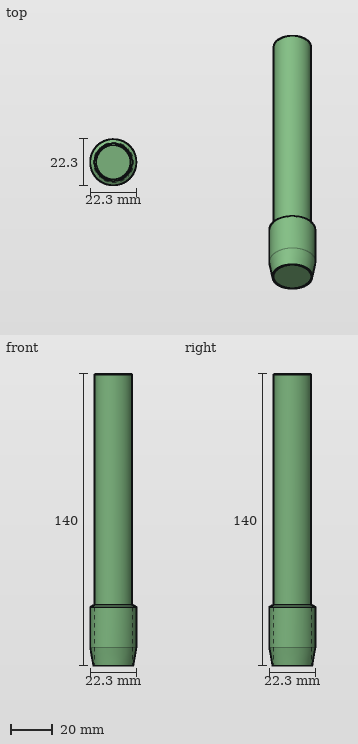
import cadquery as cq
import math

total_length = 140.0

pin_diameter = 18.0
pin_chamfer_width = 0.8

sleeve_diameter = 22.3
sleeve_tip_diameter = 19.2
sleeve_shoulder_height = 28.1
sleeve_taper_height = 8.8

edge_slope = math.tan(math.radians(30))

pin_radius = pin_diameter / 2
sleeve_radius = sleeve_diameter / 2
tip_radius = sleeve_tip_diameter / 2


def make_pin():
    """Round rod with a shallow chamfer around its top face."""
    chamfer_height = pin_chamfer_width * edge_slope
    return (
        cq.Workplane("XZ")
        .lineTo(pin_radius, 0)
        .lineTo(pin_radius, total_length - chamfer_height)
        .lineTo(pin_radius - pin_chamfer_width, total_length)
        .lineTo(0, total_length)
        .close()
        .revolve(360, (0, 0, 0), (0, 1, 0))
    )


def make_sleeve():
    """Ring with a conical top that meets the pin and a straight lower taper."""
    top_height = sleeve_shoulder_height + (sleeve_radius - pin_radius) * edge_slope
    return (
        cq.Workplane("XZ")
        .moveTo(pin_radius, 0)
        .lineTo(tip_radius, 0)
        .lineTo(sleeve_radius, sleeve_taper_height)
        .lineTo(sleeve_radius, sleeve_shoulder_height)
        .lineTo(pin_radius, top_height)
        .close()
        .revolve(360, (0, 0, 0), (0, 1, 0))
    )


pin = make_pin()
sleeve = make_sleeve()

result = cq.Compound.makeCompound([pin.val(), sleeve.val()])